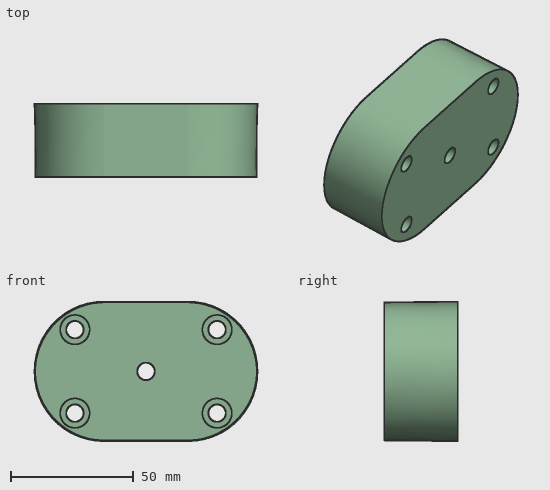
import cadquery as cq

length = 91.0
height = 57.0
depth = 30.0
draft_angle = 0.6
end_spacing = length - height
back_y = depth / 2
front_y = -depth / 2

screw_spacing_x = 58.0
screw_spacing_z = end_spacing
screw_diameter = 7.0
counterbore_diameter = 12.0
counterbore_depth = depth / 2

bore_diameter = 8.0
sleeve_hole_diameter = 7.0


def front_plane():
    """Workplane on the front face; positive depths point out of the body."""
    return cq.Workplane("XZ", origin=(0, front_y, 0))


def make_body():
    """Extrude the large back outline toward the front, narrowing by the draft."""
    back_plane = cq.Workplane("XZ", origin=(0, back_y, 0))
    outline = back_plane.slot2D(length, height)
    return outline.extrude(depth, taper=draft_angle)


def make_screw_holes():
    """Through holes and their wider flat-bottomed bores, at four corners."""
    corners = front_plane().rarray(screw_spacing_x, screw_spacing_z, 2, 2)
    through_holes = corners.circle(screw_diameter / 2).extrude(-depth)
    counterbores = corners.circle(counterbore_diameter / 2).extrude(-counterbore_depth)
    return through_holes.union(counterbores)


def make_center_bore():
    """Plain through bore that receives the sleeve."""
    return front_plane().circle(bore_diameter / 2).extrude(-depth)


def make_sleeve():
    """Thin-walled tube filling the bore over the full depth."""
    tube_section = front_plane().circle(bore_diameter / 2).circle(sleeve_hole_diameter / 2)
    return tube_section.extrude(-depth)


body = make_body().cut(make_screw_holes()).cut(make_center_bore())

result = body.union(make_sleeve(), clean=False)